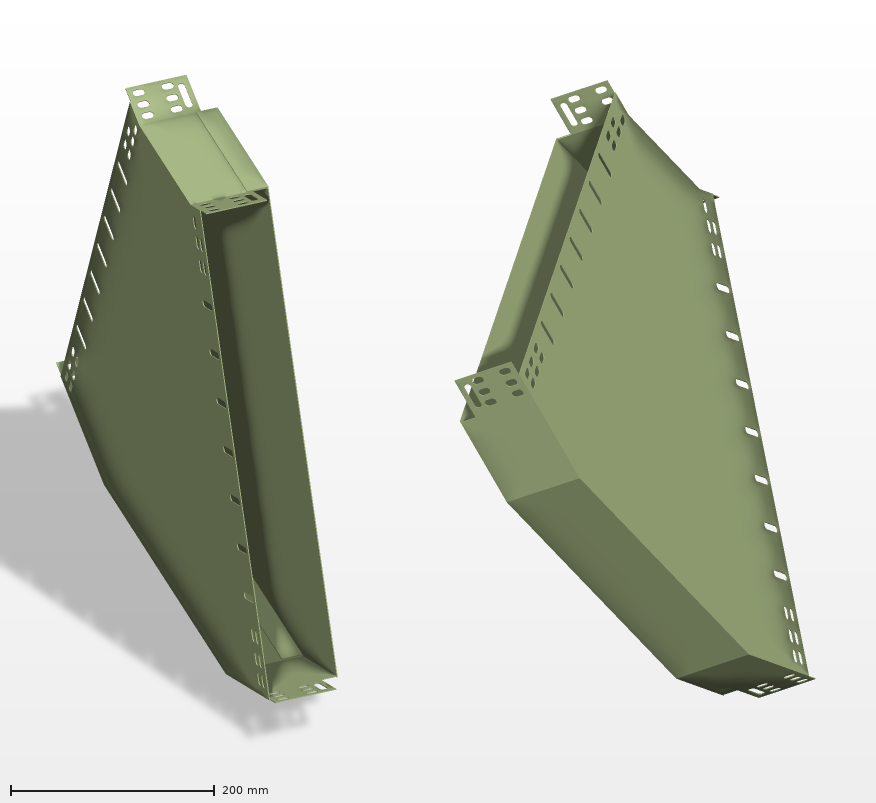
import cadquery as cq
import math


overall_length = 608.0
overall_depth = 82.0
tray_width = 502.0
sheet = 1.0
end_angle = math.radians(45 / 2)
end_cos = math.cos(end_angle)
end_sin = math.sin(end_angle)
cover_bottom = overall_depth - sheet

outer_bend_half = 169.0
outer_bend_z = 0.0
tab_end = (overall_length / 2 - outer_bend_half) / end_cos + outer_bend_half * end_cos
floor_end = tab_end - 16.0
cover_end = tab_end - 44.5
wall_end = cover_end - 2.0
tab_top = 65.0

lip_depth = 22.5
lip_end_gap = 2.0

hole_width = 7.0
slot_length = 28.5
floor_hole_length = 14.0
floor_hole_columns = [11.0, 23.0]
floor_hole_rows = [17.0, 37.5, 62.0]
floor_slot_inset = 19.5
floor_slot_count = 7
floor_slot_pitch = 50.0

tab_hole_length = 12.0
tab_hole_columns = [8.0, 22.0, 35.0]
tab_hole_levels = [12.0, 42.5]
tab_slot_inset = 22.5
tab_slot_level = 56.0

cut_depth = 3 * sheet


def end_point(axial, across):
    """(x, z) at the left end, from the axial place and the distance off the outer wall face."""
    offset = across - outer_bend_half * end_sin
    return (-axial * end_cos + offset * end_sin, axial * end_sin + offset * end_cos)


inner_bend_half = -end_point(cover_end, tray_width)[0]
inner_bend_z = end_point(cover_end, tray_width)[1]


def mirrored(left_points):
    """Complete a left half outline with its mirror image."""
    return left_points + [(-x, z) for x, z in reversed(left_points)]


def plate(outline, y_start, y_end):
    """Fill an (x, z) outline between two depths."""
    plane = cq.Workplane("XZ", origin=(0, y_start, 0))
    return plane.polyline(outline).close().extrude(y_start - y_end)


def both_ends(left_cutter):
    return left_cutter.union(left_cutter.mirror("YZ"))


def side_wall(bend_half, bend_z, across, inset, end, height):
    """Bent wall standing on the floor; inset is the signed step to its inner face."""
    inner_bend = (-bend_half + inset * math.tan(end_angle / 2), bend_z + inset)
    outer_face = mirrored([end_point(end, across), (-bend_half, bend_z)])
    inner_face = mirrored([end_point(end, across + inset), inner_bend])
    return plate(outer_face + inner_face[::-1], sheet, height)


def tray_floor():
    outline = [
        (-inner_bend_half, inner_bend_z),
        end_point(floor_end, tray_width),
        end_point(floor_end, 0),
        (-outer_bend_half, outer_bend_z),
    ]
    return plate(mirrored(outline), 0, sheet)


def inner_middle_wall():
    outline = [
        (-inner_bend_half, inner_bend_z),
        (-inner_bend_half, inner_bend_z - sheet),
    ]
    return plate(mirrored(outline), sheet, cover_bottom)


def floor_hole_cutter():
    """Obround holes near both walls and a row of slots between, for the left end."""
    origin_x, origin_z = end_point(floor_end, 0)
    plane = cq.Plane(origin=(origin_x, 0, origin_z), xDir=(end_cos, 0, -end_sin), normal=(0, -1, 0))
    holes = [(column, row) for column in floor_hole_columns for row in floor_hole_rows]
    holes += [(column, tray_width - row) for column, row in holes[1:]]
    slots = []
    for i in range(floor_slot_count):
        step = i - (floor_slot_count - 1) / 2
        slots.append((floor_slot_inset, tray_width / 2 + step * floor_slot_pitch))
    work = cq.Workplane(plane)
    hole_cutter = work.pushPoints(holes).slot2D(floor_hole_length, hole_width, 90)
    hole_cutter = hole_cutter.extrude(cut_depth, both=True)
    slot_cutter = work.pushPoints(slots).slot2D(slot_length, hole_width)
    slot_cutter = slot_cutter.extrude(cut_depth, both=True)
    return hole_cutter.union(slot_cutter)


def tab_hole_cutter(across):
    """Two rows of obround holes and one slot in a left tab."""
    origin_x, origin_z = end_point(tab_end, across)
    plane = cq.Plane(
        origin=(origin_x, 0, origin_z),
        xDir=(end_cos, 0, -end_sin),
        normal=(end_sin, 0, end_cos),
    )
    holes = [(column, level) for column in tab_hole_columns for level in tab_hole_levels]
    work = cq.Workplane(plane)
    hole_cutter = work.pushPoints(holes).slot2D(tab_hole_length, hole_width, 90)
    hole_cutter = hole_cutter.extrude(cut_depth, both=True)
    slot_cutter = work.center(tab_slot_inset, tab_slot_level).slot2D(slot_length, hole_width)
    slot_cutter = slot_cutter.extrude(cut_depth, both=True)
    return hole_cutter.union(slot_cutter)


def make_tray():
    tray = tray_floor()
    tray = tray.union(side_wall(outer_bend_half, outer_bend_z, 0, sheet, tab_end, tab_top))
    tray = tray.union(side_wall(inner_bend_half, inner_bend_z, tray_width, -sheet, tab_end, tab_top))
    tray = tray.union(side_wall(outer_bend_half, outer_bend_z, 0, sheet, wall_end, cover_bottom))
    tray = tray.union(inner_middle_wall())
    tray = tray.cut(both_ends(floor_hole_cutter()))
    for across in (0, tray_width):
        tray = tray.cut(both_ends(tab_hole_cutter(across)))
    return tray


def cover_lip(half_length, z_start):
    outline = [(-half_length, z_start), (-half_length, z_start + sheet)]
    return plate(mirrored(outline), overall_depth - lip_depth, overall_depth)


def make_cover():
    outline = [
        (-inner_bend_half, inner_bend_z + sheet),
        (-inner_bend_half, inner_bend_z),
        end_point(cover_end, 0),
        (-outer_bend_half, outer_bend_z),
    ]
    cover = plate(mirrored(outline), cover_bottom, overall_depth)
    cover = cover.union(cover_lip(inner_bend_half, inner_bend_z))
    cover = cover.union(cover_lip(outer_bend_half - lip_end_gap, outer_bend_z + sheet))
    return cover


tray = make_tray()
cover = make_cover()
result = cq.Compound.makeCompound([*tray.solids().vals(), *cover.solids().vals()])